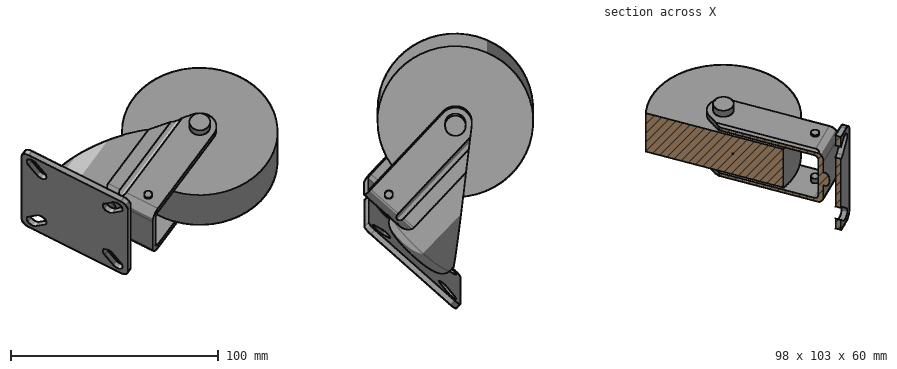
import cadquery as cq
import math


plate_side = 60.0
plate_thickness = 3.0
plate_corner_radius = 4.0
slot_width = 6.2
slot_center_offset = 21.5
slot_travel = 5.0

wheel_radius = 37.5
wheel_width = 25.0
axle_x = 30.5
axle_y = 65.5
axle_diameter = 10.0
axle_length = 41.0

cup_radius = 19.5
cup_wall = 2.0
cup_bottom_y = plate_thickness
cup_edge_radius = 5.0

fork_left_x = 8.5
fork_width = 33.0
fork_wall = 3.0
fork_bottom_y = 9.0
fork_edge_radius = 5.0
fork_tip_radius = 8.0
fork_right_x = axle_x + fork_tip_radius
fork_top_y = axle_y + fork_tip_radius

slope_start_y = 9.5

groove_x = 18.9
groove_width = 3.5
groove_radius = 2.5

pin_diameter = 4.0
pin_y = 18.0
pin_inner_z = 10.5
pin_outer_z = 17.5


def make_plate():
    """Square plate with rounded corners and four slots along its diagonals."""
    plate = (
        cq.Workplane("XY")
        .box(plate_side, plate_thickness, plate_side, centered=(True, False, True))
        .edges("|Y")
        .fillet(plate_corner_radius)
    )
    slot_length = math.hypot(slot_travel, slot_travel) + slot_width
    for corner in range(4):
        slot = (
            cq.Workplane("XZ")
            .center(slot_center_offset, slot_center_offset)
            .transformed(rotate=(0, 0, 45))
            .slot2D(slot_length, slot_width)
            .extrude(-plate_thickness)
            .rotate((0, 0, 0), (0, 1, 0), 90 * corner)
        )
        plate = plate.cut(slot)
    return plate


def make_round_cup(radius, bottom_y, edge_radius):
    """Solid cylinder on the swivel axis with a rounded bottom edge."""
    return (
        cq.Workplane("XZ", origin=(0, bottom_y, 0))
        .circle(radius)
        .extrude(bottom_y - fork_top_y)
        .faces("<Y")
        .edges()
        .fillet(edge_radius)
    )


def make_channel(width, bottom_y, edge_radius):
    """Solid bar along X with its two long bottom edges rounded."""
    length = fork_right_x - fork_left_x
    return (
        cq.Workplane("XY")
        .box(length, fork_top_y - bottom_y, width, centered=(False, False, True))
        .translate((fork_left_x, bottom_y, 0))
        .faces("<Y")
        .edges("|X")
        .fillet(edge_radius)
    )


def make_side_profile():
    """Side outline of the bracket: sloped edge, tangent round tip, straight right edge."""
    run = axle_x + cup_radius
    rise = axle_y - slope_start_y
    slope_angle = math.atan2(rise, run) + math.asin(fork_tip_radius / math.hypot(run, rise))
    normal_angle = slope_angle + math.pi / 2
    middle_angle = normal_angle / 2

    def tip_point(angle):
        return (
            axle_x + fork_tip_radius * math.cos(angle),
            axle_y + fork_tip_radius * math.sin(angle),
        )

    return (
        cq.Workplane("XY")
        .moveTo(-cup_radius, cup_bottom_y)
        .lineTo(-cup_radius, slope_start_y)
        .lineTo(*tip_point(normal_angle))
        .threePointArc(tip_point(middle_angle), (fork_right_x, axle_y))
        .lineTo(fork_right_x, cup_bottom_y)
        .close()
        .extrude(cup_radius, both=True)
    )


def make_groove(side):
    """Round bar that cuts a shallow groove into the leg on the given Z side."""
    bar_center_offset = math.sqrt(groove_radius**2 - (groove_width / 2) ** 2)
    bar_z = side * (fork_width / 2 + bar_center_offset)
    return (
        cq.Workplane("XZ", origin=(groove_x, fork_bottom_y, bar_z))
        .circle(groove_radius)
        .extrude(fork_bottom_y - fork_top_y)
    )


def make_bracket():
    """Cup and fork joined, hollowed and trimmed to the side outline."""
    cup = make_round_cup(cup_radius, cup_bottom_y, cup_edge_radius)
    cup_hollow = make_round_cup(
        cup_radius - cup_wall,
        cup_bottom_y + cup_wall,
        cup_edge_radius - cup_wall,
    )
    fork = make_channel(fork_width, fork_bottom_y, fork_edge_radius)
    fork_hollow = make_channel(
        fork_width - 2 * fork_wall,
        fork_bottom_y + fork_wall,
        fork_edge_radius - fork_wall,
    )
    bracket = cup.cut(cup_hollow).union(fork).cut(fork_hollow)
    bracket = bracket.intersect(make_side_profile())
    for side in (-1, 1):
        bracket = bracket.cut(make_groove(side))
    return bracket


def make_wheel():
    """Plain wheel with its axle, both along Z."""
    center = cq.Workplane("XY", origin=(axle_x, axle_y, 0))
    wheel = center.circle(wheel_radius).extrude(wheel_width / 2, both=True)
    axle = center.circle(axle_diameter / 2).extrude(axle_length / 2, both=True)
    return wheel.union(axle)


def make_pin(side):
    """Short pin through the leg on the given Z side."""
    return (
        cq.Workplane("XY", origin=(axle_x, pin_y, side * pin_inner_z))
        .circle(pin_diameter / 2)
        .extrude(side * (pin_outer_z - pin_inner_z))
    )


result = make_plate().union(make_bracket()).union(make_wheel())
for pin_side in (-1, 1):
    result = result.union(make_pin(pin_side))